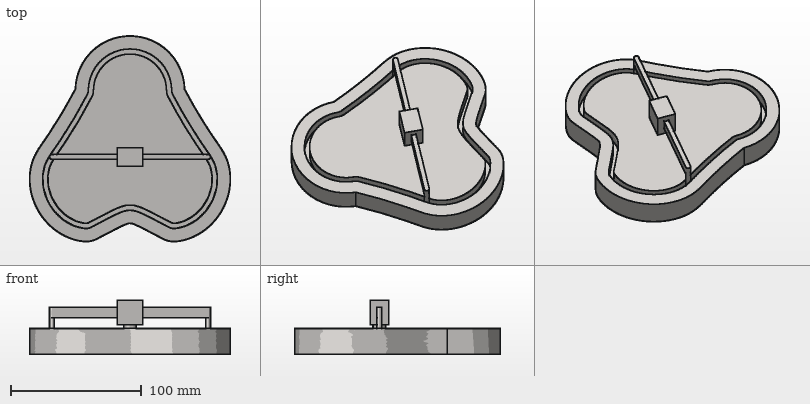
import cadquery as cq
import math

plate_thickness = 20.0
rim_distance = 12.0
groove_width = 4.0
groove_depth = 10.0
shaft_diameter = 10.0
pivot_hole_depth = groove_depth

pin_spacing = 119.5
nose_radius = 30.0
nose_center_y = 50.8
neck_radius = 7.9
neck_turn = math.radians(27.5)
spline_steps = 8

pin_diameter = 3.8
bar_width = pin_diameter
bar_height = 8.0

block_length = 19.7
block_width = 14.4
block_height = 18.8
block_gap = 2.7

groove_floor = plate_thickness - groove_depth
pivot_hole_floor = plate_thickness - pivot_hole_depth
block_bottom = plate_thickness + block_gap
bar_bottom = block_bottom + (block_height - bar_height) / 2
bar_top = bar_bottom + bar_height
pin_x = pin_spacing / 2


def upper_left_centreline():
    """Tangent arcs from the top of the nose down to the left pin."""
    nose_top = cq.Vector(0, nose_center_y + nose_radius)
    nose_end = cq.Vector(-nose_radius, nose_center_y)
    neck_end = nose_end + cq.Vector(
        -neck_radius * (1 - math.cos(neck_turn)),
        -neck_radius * math.sin(neck_turn),
    )
    nose = cq.Edge.makeTangentArc(nose_top, cq.Vector(-1, 0), nose_end)
    neck = cq.Edge.makeTangentArc(nose_end, nose.tangentAt(1), neck_end)
    flank = cq.Edge.makeTangentArc(neck_end, neck.tangentAt(1), cq.Vector(-pin_x, 0))
    return nose, neck, flank


def outward(point, tangent, distance):
    """Shift a point to the right of its direction of travel, which is outward on the upper left."""
    return point + cq.Vector(tangent.y, -tangent.x) * distance


def offset_arc(edge, distance):
    start, middle, end = [
        outward(edge.positionAt(t), edge.tangentAt(t), distance) for t in (0, 0.5, 1)
    ]
    return cq.Edge.makeThreePointArc(start, middle, end)


def sharp_neck(nose, flank):
    """Join two arcs directly, where the circles of the nose and the flank cross."""
    nose_center = nose.arcCenter()
    between = flank.arcCenter() - nose_center
    along = (nose.radius()**2 - flank.radius()**2 + between.Length**2) / (2 * between.Length)
    across = math.sqrt(nose.radius()**2 - along**2)
    unit = between.normalized()
    corner = nose_center + unit * along + cq.Vector(-unit.y, unit.x) * across
    return [
        cq.Edge.makeThreePointArc(nose.positionAt(0), nose.positionAt(0.5), corner),
        cq.Edge.makeThreePointArc(corner, flank.positionAt(0.5), flank.positionAt(1)),
    ]


def upper_left_outline(distance):
    """The upper left arcs moved outward; an offset that uses up the neck leaves a sharp corner."""
    nose, neck, flank = upper_left_centreline()
    outer_nose = offset_arc(nose, distance)
    outer_flank = offset_arc(flank, distance)
    if distance >= neck_radius:
        return sharp_neck(outer_nose, outer_flank)
    return [outer_nose, offset_arc(neck, distance), outer_flank]


def second_pin_point(first, travel, distance):
    """Point for the second pin, mirrored to the left, when the first pin is at a point above.

    The bar turns about the origin, so the two radii always add up to the pin spacing.
    """
    ratio = pin_spacing / first.Length - 1
    ratio_change = -pin_spacing * first.dot(travel) / first.Length**3
    direction = (travel * ratio + first * ratio_change).normalized()
    second = cq.Vector(first.x * ratio, -first.y * ratio)
    return outward(second, cq.Vector(-direction.x, direction.y), distance)


def lower_left_points(distance):
    """Points from beside the left pin down to the bottom of the middle."""
    points = []
    for edge in reversed(upper_left_centreline()):
        for step in reversed(range(spline_steps)):
            t = step / spline_steps
            points.append(second_pin_point(edge.positionAt(t), edge.tangentAt(t), distance))
    return points


def mirrored(vector):
    """Mirror image on the other side of the plane of symmetry, X = 0."""
    return cq.Vector(-vector.x, vector.y)


def cam_prism(distance, height):
    """Prism over the groove centreline moved outward by a distance."""
    *arcs, flank = upper_left_outline(distance)
    left = [flank.positionAt(step / spline_steps) for step in range(spline_steps + 1)]
    left += lower_left_points(distance)
    right = [mirrored(point) for point in reversed(left[:-1])]
    start_tangent = flank.tangentAt(0)
    end_tangent = cq.Vector(start_tangent.x, -start_tangent.y)
    curve = cq.Edge.makeSpline(left + right, tangents=[start_tangent, end_tangent])
    outline = cq.Wire.combine([*arcs, curve, *[arc.mirror("YZ") for arc in arcs]])[0]
    return cq.Workplane().add(outline).toPending().extrude(height)


def make_plate():
    groove = cam_prism(groove_width / 2, groove_depth).cut(cam_prism(-groove_width / 2, groove_depth))
    pivot_hole = (
        cq.Workplane()
        .workplane(offset=pivot_hole_floor)
        .circle(shaft_diameter / 2)
        .extrude(pivot_hole_depth)
    )
    plate = cam_prism(rim_distance, plate_thickness)
    return plate.cut(groove.translate((0, 0, groove_floor))).cut(pivot_hole)


def bar_beam(length):
    return cq.Workplane().workplane(offset=bar_bottom).rect(length, bar_width).extrude(bar_height)


def make_bar():
    """Beam with a round pin at each end, standing on the groove floor."""
    pins = (
        cq.Workplane()
        .workplane(offset=groove_floor)
        .pushPoints([(-pin_x, 0), (pin_x, 0)])
        .circle(pin_diameter / 2)
        .extrude(bar_top - groove_floor)
    )
    return bar_beam(pin_spacing).union(pins)


def make_block():
    """Block that the bar slides through, on a shaft that turns in the pivot hole."""
    block = (
        cq.Workplane()
        .workplane(offset=block_bottom)
        .rect(block_length, block_width)
        .extrude(block_height)
    )
    shaft = (
        cq.Workplane()
        .workplane(offset=pivot_hole_floor)
        .circle(shaft_diameter / 2)
        .extrude(block_bottom - pivot_hole_floor)
    )
    return block.union(shaft).cut(bar_beam(block_length))


plate = make_plate()
bar = make_bar()
block = make_block()

result = cq.Compound.makeCompound([plate.val(), bar.val(), block.val()])